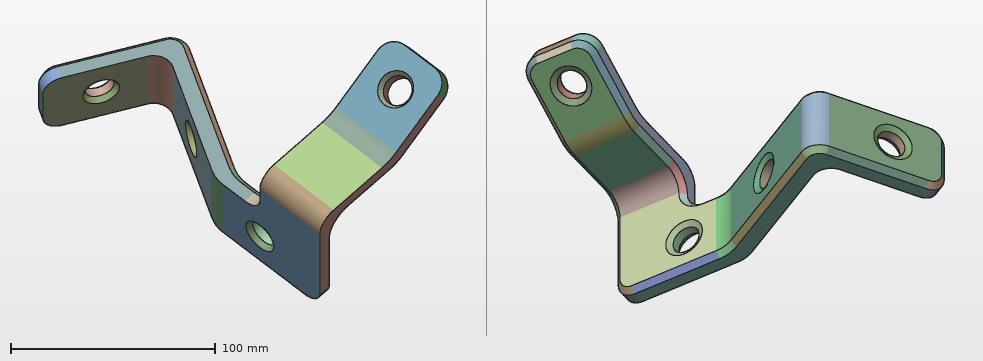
import cadquery as cq
import math

overall_x = 178.2
strap_width = 40.0
plate_thickness = 10.0
plate_length = 70.0

incline_thickness = 11.5
bend_angle = 30.0
arm_length = 80.0
leg_length = 63.6

shelf_height = 70.0
shelf_depth = 50.0
tab_length = 49.9

corner_radius = 10.0
tight_bend_radius = 10.0
gentle_bend_radius = 20.0
edge_chamfer = 3.0

bore_radius = 15.0 / 2
front_mouth_radius = 18.7 / 2
front_cone_depth = 3.0
back_mouth_radius = 21.2 / 2
back_cone_depth = 1.8
hole_from_end = 30.0

cos_bend = math.cos(math.radians(bend_angle))
sin_bend = math.sin(math.radians(bend_angle))
bracket_left = overall_x - strap_width


def move(point, direction, distance):
    return (point[0] + direction[0] * distance, point[1] + direction[1] * distance)


bend_shift = (incline_thickness - plate_thickness * cos_bend) / sin_bend

arm_along = (-cos_bend, sin_bend)
arm_back = (sin_bend, cos_bend)
leg_along = (-sin_bend, -cos_bend)
leg_back = (-cos_bend, sin_bend)
arm_bend = (overall_x - plate_length, 0)
elbow = move(arm_bend, arm_along, arm_length)
leg_end = move(elbow, leg_along, leg_length)
elbow_back = move(move(elbow, arm_back, incline_thickness), leg_back, plate_thickness)
arm_bend_back = (arm_bend[0] + bend_shift, plate_thickness)

tab_along = (cos_bend, sin_bend)
tab_back = (sin_bend, -cos_bend)
tab_bend = (shelf_depth, shelf_height)
tab_end = move(tab_bend, tab_along, tab_length)
shelf_underside = shelf_height - plate_thickness
tab_bend_back = (shelf_depth + bend_shift, shelf_underside)


def round_edges(body, direction, points, radius):
    """Fillet the edges parallel to direction that pass through the given points."""
    for point in points:
        body = body.edges("|" + direction).edges(cq.NearestToPointSelector(point)).fillet(radius)
    return body


def make_arm():
    body = (
        cq.Workplane("XY")
        .polyline([
            (overall_x, 0), arm_bend, elbow, leg_end,
            move(leg_end, leg_back, plate_thickness),
            elbow_back, arm_bend_back, (overall_x, plate_thickness),
        ])
        .close()
        .extrude(strap_width)
    )
    middle = strap_width / 2
    body = round_edges(body, "Z", [(*elbow, middle), (*elbow_back, middle)], tight_bend_radius)
    return round_edges(body, "Z", [(*arm_bend, middle), (*arm_bend_back, middle)], gentle_bend_radius)


def make_bracket():
    body = (
        cq.Workplane("YZ", origin=(bracket_left, 0, 0))
        .polyline([
            (0, 0), (0, shelf_height), tab_bend, tab_end,
            move(tab_end, tab_back, incline_thickness),
            tab_bend_back, (plate_thickness, shelf_underside), (plate_thickness, 0),
        ])
        .close()
        .extrude(strap_width)
    )
    middle = bracket_left + strap_width / 2
    shelf_bends = [(middle, 0, shelf_height), (middle, plate_thickness, shelf_underside)]
    tab_bends = [(middle, *tab_bend), (middle, *tab_bend_back)]
    body = round_edges(body, "X", shelf_bends, tight_bend_radius)
    return round_edges(body, "X", tab_bends, gentle_bend_radius)


def round_corners(body):
    """Round the strap's outline corners, all of which run through the thickness."""
    leg_middle = move(leg_end, leg_back, plate_thickness / 2)
    tab_middle = move(tab_end, tab_back, incline_thickness / 2)
    corners = [
        (*leg_middle, 0),
        (*leg_middle, strap_width),
        (bracket_left, *tab_middle),
        (overall_x, *tab_middle),
        (bracket_left, plate_thickness / 2, strap_width),
        (overall_x, plate_thickness / 2, 0),
    ]
    for corner in corners:
        body = body.edges(cq.NearestToPointSelector(corner)).fillet(corner_radius)
    return body


def chamfer_back(body):
    """Chamfer the whole back outline; one edge carries along its tangent chain."""
    seed = ((bracket_left + arm_bend[0]) / 2, plate_thickness, 0)
    return body.edges(cq.NearestToPointSelector(seed)).chamfer(edge_chamfer)


def cut_hole(body, centre, inward, thickness):
    """Cut a bore with a cone at each face; inward points from front to back."""
    profile = [
        (0, 0), (front_mouth_radius, 0), (bore_radius, front_cone_depth),
        (bore_radius, thickness - back_cone_depth), (back_mouth_radius, thickness), (0, thickness),
    ]
    axis = cq.Vector(*inward)
    side = axis.cross(cq.Vector(1, 1, 1))
    plane = cq.Plane(origin=centre, xDir=side, normal=side.cross(axis))
    cutter = cq.Workplane(plane).polyline(profile).close().revolve(360, (0, 0), (0, 1))
    return body.cut(cutter)


result = make_arm().union(make_bracket())
result = round_corners(result)
result = chamfer_back(result)

arm_hole = move(arm_bend, arm_along, arm_length / 2)
leg_hole = move(leg_end, leg_along, -hole_from_end)
tab_hole = move(tab_bend, tab_along, hole_from_end)
mid_height = strap_width / 2
result = cut_hole(result, (bracket_left, 0, mid_height), (0, 1, 0), plate_thickness)
result = cut_hole(result, (*arm_hole, mid_height), (*arm_back, 0), incline_thickness)
result = cut_hole(result, (*leg_hole, mid_height), (*leg_back, 0), plate_thickness)
result = cut_hole(result, (bracket_left + strap_width / 2, *tab_hole), (0, *tab_back), incline_thickness)